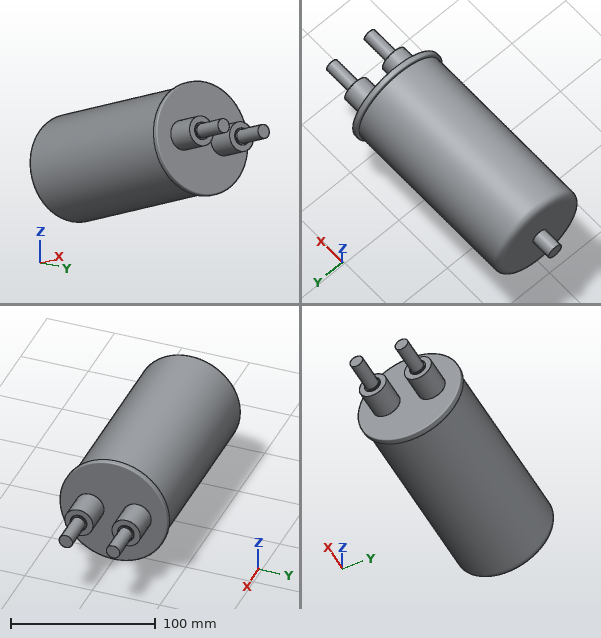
import cadquery as cq

total_length = 211.0
x_start = -total_length / 2

stud_diameter = 12.0
stud_length = 16.0

can_diameter = 75.5
can_length = 149.0
can_end_fillet = 5.0

rim_diameter = 80.0
rim_width = 4.6
rim_edge_fillet = 0.8

terminal_spacing = 35.0
insulator_diameter = 20.9
insulator_length = 21.0
collar_diameter = 12.0
collar_length = 1.0
pin_diameter = 10.0

can_start = x_start + stud_length
rim_end = can_start + can_length
rim_start = rim_end - rim_width
insulator_end = rim_end + insulator_length
collar_end = insulator_end + collar_length
pin_end = x_start + total_length


def rod(diameter, start, end, y=0.0):
    """Solid cylinder parallel to X between two stations."""
    plane = cq.Workplane("YZ", origin=(start, y, 0))
    return plane.circle(diameter / 2).extrude(end - start)


def make_can():
    """Cylindrical can with a rounded closed end."""
    return rod(can_diameter, can_start, rim_end).faces("<X").edges().fillet(can_end_fillet)


def make_rim():
    """Seam rim around the terminal end, with both outer edges rounded."""
    return rod(rim_diameter, rim_start, rim_end).edges().fillet(rim_edge_fillet)


def make_terminal(y):
    """Insulator, short collar and contact pin on one axis."""
    insulator = rod(insulator_diameter, rim_start, insulator_end, y)
    collar = rod(collar_diameter, rim_start, collar_end, y)
    pin = rod(pin_diameter, rim_start, pin_end, y)
    return insulator.union(collar).union(pin)


stud = rod(stud_diameter, x_start, can_start + can_end_fillet)

result = make_can().union(make_rim()).union(stud)
for side in (-1, 1):
    result = result.union(make_terminal(side * terminal_spacing / 2))